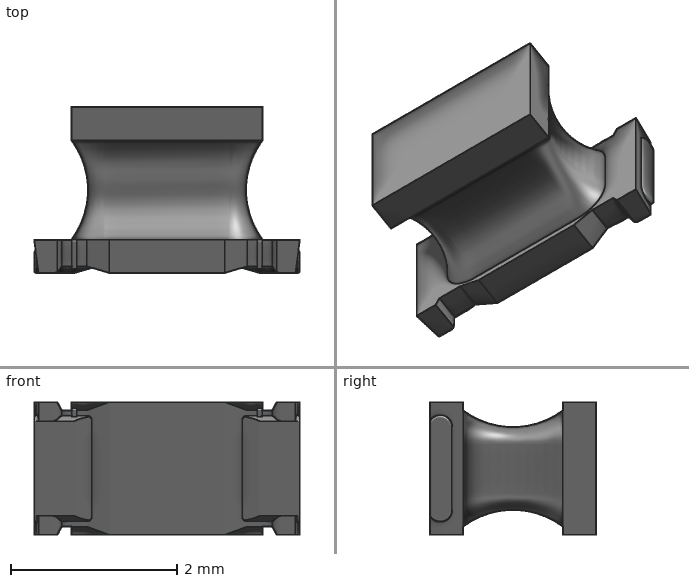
import cadquery as cq


length = 3.2
depth = 2.0
height = 1.6
half_length = length / 2
half_height = height / 2
flange_depth = depth / 5

rear_flange_length = 2.3
neck_depth = depth - 2 * flange_depth
neck_waist = 0.2
neck_corner_radius = 0.2
waist_half_length = rear_flange_length / 2 - neck_waist
waist_half_height = 0.5
neck_flat_x = waist_half_length - neck_corner_radius
neck_flat_z = waist_half_height - neck_corner_radius

end_taper = 0.055
block_edge = 0.28
recess_start = 0.333
recess_end = 0.637
slope_end = 0.905
notch_depth = 0.1
seat_depth = 0.08
block_edge_radius = 0.1
slope_ratio = seat_depth / (slope_end - recess_end)

terminal_flat_length = 0.485
terminal_length = (terminal_flat_length + slope_end) / 2
terminal_height = 1.285
terminal_radius = 0.145
terminal_axis_y = 0.125
terminal_outer_fillet = 0.032
terminal_inner_fillet = 0.048

wire_start = 0.455
wire_width = 0.06
wire_rise = 0.024
wire_front_thickness = 0.0305
wire_bend_radius = wire_rise


def mirrored_in_x(body):
    """Return the left-hand body and its right-hand copy."""
    return [body, body.mirror("YZ")]


def make_rear_flange():
    flange = cq.Workplane("XY").box(rear_flange_length, flange_depth, height)
    return flange.translate((0, depth - flange_depth / 2, 0))


def neck_half_profile(waist_distance):
    """Section from the line X = 0 out to a concave side that lies waist_distance away at mid-depth."""
    y_front = flange_depth
    y_rear = flange_depth + neck_depth
    outer = waist_distance + neck_waist
    return (
        cq.Workplane("XY")
        .moveTo(0, y_front)
        .lineTo(outer, y_front)
        .threePointArc((waist_distance, depth / 2), (outer, y_rear))
        .lineTo(0, y_rear)
        .close()
    )


def make_neck():
    """Rounded-rectangle neck, its sides and corners all swept from the same concave arc."""
    side_x = neck_half_profile(waist_half_length).extrude(neck_flat_z, both=True)
    side_z = (
        neck_half_profile(waist_half_height)
        .extrude(neck_flat_x, both=True)
        .rotate((0, 0, 0), (0, 1, 0), 90)
    )
    neck = side_x.union(side_x.mirror("YZ")).union(side_z).union(side_z.mirror("XY"))
    corner = neck_half_profile(neck_corner_radius).revolve(360, (0, 0, 0), (0, 1, 0))
    for x in (-neck_flat_x, neck_flat_x):
        for z in (-neck_flat_z, neck_flat_z):
            neck = neck.union(corner.translate((x, 0, z)))
    return neck


def recess_outline(plane, recess_depth, sign):
    """Trapezoid recess on the left end, cut inward from a face; sign gives the inward direction."""
    points = [
        (block_edge, 0),
        (recess_start, recess_depth),
        (recess_end, recess_depth),
        (slope_end, 0),
    ]
    return cq.Workplane(plane).polyline([(x - half_length, sign * d) for x, d in points]).close()


def make_front_flange(terminals):
    taper_outline = [
        (-half_length, flange_depth),
        (-half_length + end_taper, 0),
        (half_length - end_taper, 0),
        (half_length, flange_depth),
    ]
    flange = cq.Workplane("XY").polyline(taper_outline).close().extrude(half_height, both=True)

    seat = recess_outline("XY", seat_depth, 1).extrude(half_height, both=True)
    for cut in mirrored_in_x(seat):
        flange = flange.cut(cut)
    edge_x = half_length - block_edge
    for x in (-edge_x, edge_x):
        edge = cq.selectors.NearestToPointSelector((x, 0, 0))
        flange = flange.edges("|Z").edges(edge).fillet(block_edge_radius)

    notch = recess_outline("XZ", notch_depth, -1).extrude(-flange_depth).translate((0, 0, half_height))
    for cut in mirrored_in_x(notch):
        flange = flange.cut(cut).cut(cut.mirror("XY"))

    for terminal in terminals:
        flange = flange.cut(terminal)
    return flange


def make_terminal():
    """Left-hand terminal."""
    bar = (
        cq.Workplane("YZ", origin=(-half_length, terminal_axis_y, 0))
        .slot2D(terminal_height, 2 * terminal_radius, 90)
        .extrude(terminal_length)
    )
    beyond_mounting_face = cq.Workplane("XY").box(length, depth, height).translate((0, -depth / 2, 0))
    bar = bar.cut(beyond_mounting_face)
    bar = bar.faces("<X").edges().fillet(terminal_outer_fillet)

    flat_x = -half_length + terminal_flat_length
    inner_x = -half_length + terminal_length
    inner_y = slope_ratio * (terminal_length - terminal_flat_length)
    relief = (
        cq.Workplane("XY")
        .polyline([(flat_x, 0), (inner_x, inner_y), (inner_x, 0)])
        .close()
        .extrude(half_height, both=True)
    )
    bar = bar.cut(relief)
    bar = bar.faces(">X").edges("not |Z").fillet(terminal_inner_fillet)
    return bar


def make_wire_end(terminal):
    """Left-hand wire end, lying on the notch floor with its leg stopping on the terminal."""
    floor_z = half_height - notch_depth
    top_z = floor_z + wire_rise
    front_y = seat_depth - wire_front_thickness
    leg_bottom_z = terminal_height / 2 - terminal_radius
    strip = (
        cq.Workplane("YZ", origin=(-half_length + wire_start, 0, 0))
        .moveTo(front_y, leg_bottom_z)
        .lineTo(front_y, top_z - wire_bend_radius)
        .radiusArc((front_y + wire_bend_radius, top_z), wire_bend_radius)
        .lineTo(flange_depth - wire_bend_radius, top_z)
        .radiusArc((flange_depth, top_z - wire_bend_radius), wire_bend_radius)
        .lineTo(seat_depth, floor_z)
        .lineTo(seat_depth, leg_bottom_z)
        .close()
        .extrude(wire_width)
    )
    return strip.cut(terminal)


left_terminal = make_terminal()
left_wire_end = make_wire_end(left_terminal)
terminals = mirrored_in_x(left_terminal)
wire_ends = mirrored_in_x(left_wire_end)
rear_flange = make_rear_flange()
neck = make_neck()
front_flange = make_front_flange(terminals)

bodies = [rear_flange, neck, front_flange, *terminals, *wire_ends]
result = cq.Compound.makeCompound([body.solids().val() for body in bodies])